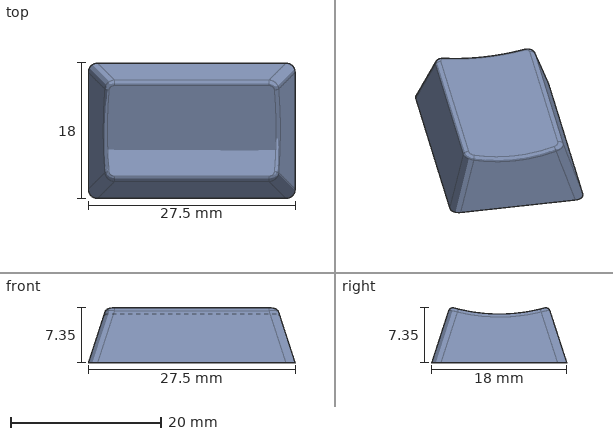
import cadquery as cq

base_length = 27.52
base_width = 18.0
wall_lean = 18.0
corner_radius = 1.3

dish_floor_height = 6.5
dish_radius = 22.25
rim_radius = 0.6

cutting_allowance = 2.5
block_height = dish_floor_height + cutting_allowance


def tapered_body():
    """Block with four leaning walls and rounded slanted corners."""
    block = cq.Workplane("XY").rect(base_length, base_width).extrude(block_height, taper=wall_lean)
    slanted_corners = block.edges("not(#Z or |X or |Y)")
    return slanted_corners.fillet(corner_radius)


def dish_cutter():
    """Cylinder along X whose lowest line lies on the dish floor."""
    return (
        cq.Workplane("YZ")
        .center(0, dish_floor_height + dish_radius)
        .circle(dish_radius)
        .extrude(base_length, both=True)
    )


def round_rim(body):
    """Round the whole edge where the dish meets the walls and corners."""
    dish_floor_center = (0, 0, dish_floor_height)
    dish_face = body.faces(cq.selectors.NearestToPointSelector(dish_floor_center))
    return dish_face.edges().fillet(rim_radius)


dished_body = tapered_body().cut(dish_cutter())
result = round_rim(dished_body)